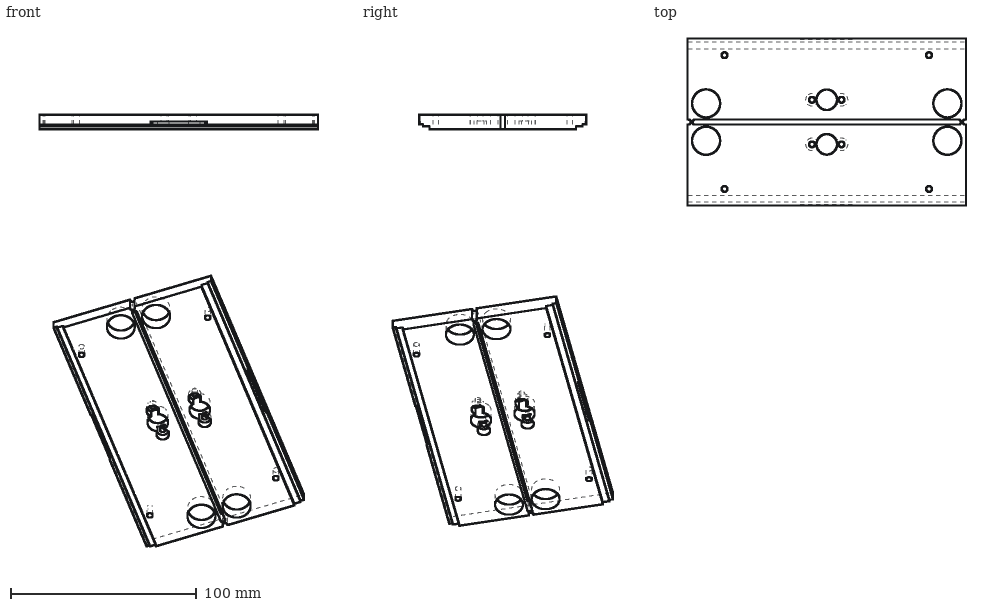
import cadquery as cq

length = 150.0
width = 90.0
thickness = 8.0

outer_lip_depth = 5.2
outer_step_inset = 2.0
inner_lip_depth = 6.3
inner_step_inset = 5.5

recess_length = 30.5
recess_roof_depth = 3.8
recess_inset = 0.6
recess_end_inset = 0.3
recess_end_length = 1.0

slot_width = 2.5
slot_length = 144.0
notch_depth = 1.8
slot_corner_radius = 0.8

access_hole_diameter = 15.0
access_hole_x = 65.0
access_hole_y = 10.0
centre_hole_diameter = 11.0
centre_hole_y = 12.0
screw_hole_diameter = 3.0
flank_hole_x = 8.0
flank_counterbore_diameter = 6.8
flank_counterbore_depth = 4.5
corner_hole_x = 55.0
corner_hole_y = 36.0


def stepped_plate():
    """Plate extruded along X from its stepped end profile."""
    half_width = width / 2
    outer_y = half_width - outer_step_inset
    inner_y = half_width - inner_step_inset
    outer_z = thickness - outer_lip_depth
    inner_z = thickness - inner_lip_depth
    right_side = [
        (inner_y, 0),
        (inner_y, inner_z),
        (outer_y, inner_z),
        (outer_y, outer_z),
        (half_width, outer_z),
        (half_width, thickness),
    ]
    left_side = [(-y, z) for y, z in reversed(right_side)]
    profile = cq.Workplane("YZ").polyline(right_side + left_side).close()
    return profile.extrude(length / 2, both=True)


def edge_recess(side):
    """Cutter for the recess under one lip, shallower at its two ends."""
    height = outer_lip_depth - recess_roof_depth
    middle_length = recess_length - 2 * recess_end_length
    cutter = cq.Workplane("XY").box(recess_length, 2 * recess_end_inset, height, centered=(True, True, False))
    middle = cq.Workplane("XY").box(middle_length, 2 * recess_inset, height, centered=(True, True, False))
    return cutter.union(middle).translate((0, side * width / 2, thickness - outer_lip_depth))


def central_slot():
    """Cutter for the dividing slot, with small rounded corners."""
    slot = cq.Workplane("XY").rect(slot_length, slot_width).extrude(thickness)
    return slot.edges("|Z").fillet(slot_corner_radius)


def end_notch(side):
    """Cutter for one notch: a full-round slot centred on the end face."""
    notch = cq.Workplane("XY").center(side * length / 2, 0).slot2D(2 * notch_depth, slot_width)
    return notch.extrude(thickness)


def round_holes(diameter, centres, depth=thickness):
    """Cutters for round holes rising from the underside, through the plate by default."""
    return cq.Workplane("XY").pushPoints(centres).circle(diameter / 2).extrude(depth)


def mirrored(x, y):
    """The point repeated in all four quadrants."""
    return [(sx * x, sy * y) for sx in (-1, 1) for sy in (-1, 1)]


result = stepped_plate()

for side in (-1, 1):
    result = result.cut(edge_recess(side))

result = result.cut(central_slot())
for side in (-1, 1):
    result = result.cut(end_notch(side))

centre_hole_centres = [(0, -centre_hole_y), (0, centre_hole_y)]
flank_hole_centres = mirrored(flank_hole_x, centre_hole_y)
screw_hole_centres = flank_hole_centres + mirrored(corner_hole_x, corner_hole_y)
result = result.cut(round_holes(access_hole_diameter, mirrored(access_hole_x, access_hole_y)))
result = result.cut(round_holes(centre_hole_diameter, centre_hole_centres))
result = result.cut(round_holes(screw_hole_diameter, screw_hole_centres))
result = result.cut(round_holes(flank_counterbore_diameter, flank_hole_centres, flank_counterbore_depth))